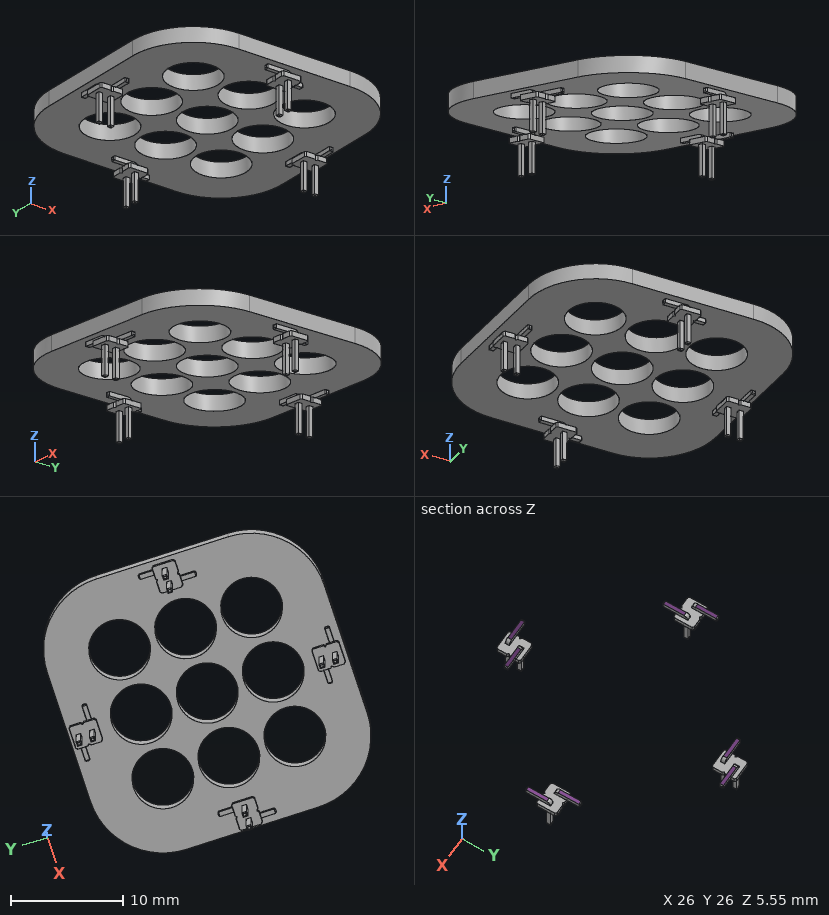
import cadquery as cq

PLATE_SIDE = 26.0
PLATE_THICKNESS = 1.6
HOLE_DIAMETER = 5.5
HOLE_PITCH = 6.2
HOLES_PER_SIDE = 3
CORNER_RADIUS = PLATE_SIDE / 2 - HOLE_PITCH

OVERALL_HEIGHT = 5.55
HEADER_COUNT = 4
HEADER_RADIUS = 11.4
PIN_PITCH = 1.27
PIN_WIDTH = 0.43
PIN_LENGTH = OVERALL_HEIGHT - PLATE_THICKNESS
TIP_CHAMFER = 0.1
FOOT_REACH = 2.5
BEND_RADIUS = PIN_WIDTH

INSULATOR_WIDTH = 2.15
INSULATOR_HEIGHT = 0.5
INSULATOR_CHAMFER = 0.15



def make_plate():
    plate = (
        cq.Workplane("XY")
        .rect(PLATE_SIDE, PLATE_SIDE)
        .extrude(PLATE_THICKNESS)
        .edges("|Z")
        .fillet(CORNER_RADIUS)
    )
    holes = (
        cq.Workplane("XY")
        .rarray(HOLE_PITCH, HOLE_PITCH, HOLES_PER_SIDE, HOLES_PER_SIDE)
        .circle(HOLE_DIAMETER / 2)
        .extrude(PLATE_THICKNESS)
    )
    return plate.cut(holes)


def make_pin():
    """L-shaped square pin on the Z axis: foot against Z = 0 pointing to +Y, leg pointing down."""
    half_width = PIN_WIDTH / 2
    leg = (
        cq.Workplane("XY")
        .rect(PIN_WIDTH, PIN_WIDTH)
        .extrude(-PIN_LENGTH)
        .faces("<Z")
        .chamfer(TIP_CHAMFER)
    )
    foot = (
        cq.Workplane("XZ", origin=(0, -half_width, -half_width))
        .rect(PIN_WIDTH, PIN_WIDTH)
        .extrude(-(FOOT_REACH + half_width))
        .faces(">Y")
        .chamfer(TIP_CHAMFER)
    )
    bend_edge = cq.selectors.NearestToPointSelector((0, -half_width, 0))
    return leg.union(foot).edges(bend_edge).fillet(BEND_RADIUS)


def make_insulator_cell():
    """One pitch of the insulator strip, centred on the Z axis."""
    return (
        cq.Workplane("XY", origin=(0, 0, -PIN_WIDTH))
        .rect(PIN_PITCH, INSULATOR_WIDTH)
        .extrude(-INSULATOR_HEIGHT)
        .edges("|Z")
        .chamfer(INSULATOR_CHAMFER)
    )


def make_header():
    """Two-pin header for the -X side, its feet pointing in opposite directions along Y."""
    cell = make_insulator_cell().union(make_pin())
    outer_cell = cell.translate((-PIN_PITCH / 2, 0, 0))
    inner_cell = outer_cell.rotate((0, 0, 0), (0, 0, 1), 180)
    return outer_cell.union(inner_cell).translate((-HEADER_RADIUS, 0, 0))


plate = make_plate()

header = make_header()
headers = []
for index in range(HEADER_COUNT):
    angle = index * 360 / HEADER_COUNT
    headers.append(header.rotate((0, 0, 0), (0, 0, 1), angle))

result = cq.Compound.makeCompound([plate.val(), *[placed.val() for placed in headers]])